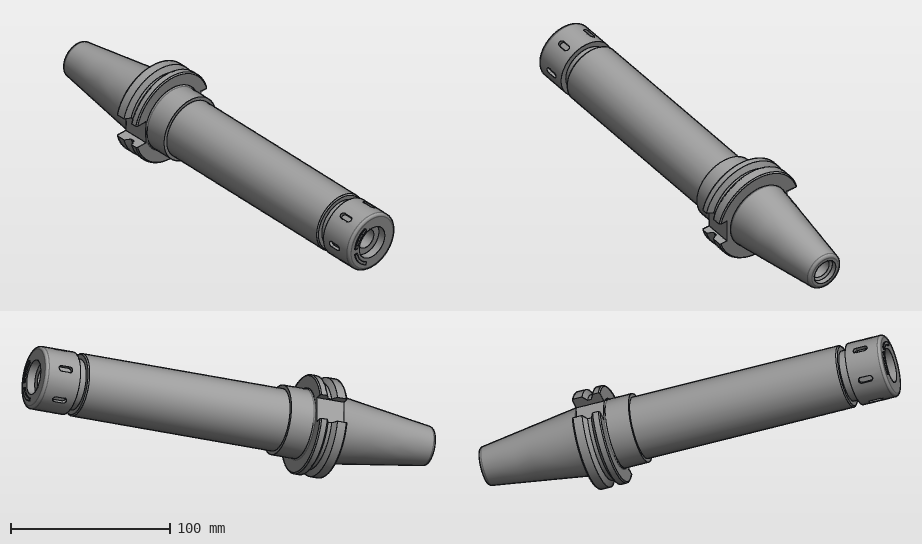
import cadquery as cq
import math

TAPER_END = 68.0
FLANGE_START = 69.0
FLANGE_END = 87.5
COLLAR_END = 103.7
SHANK_END = 241.9
NUT_START = 247.3
NUT_FACE = 270.5
TOTAL_LENGTH = 271.5

TIP_DIAMETER = 24.7
GAUGE_DIAMETER = 44.5
FLANGE_DIAMETER = 63.2
SHANK_DIAMETER = 40.0
NECK_DIAMETER = 32.5

TIP_ROUND = 2.2
FLANGE_CHAMFER = 0.8
COLLAR_FILLET = 0.8
SHANK_CHAMFER = 0.8

GROOVE_CENTRE = 79.3
GROOVE_TOP_WIDTH = 7.0
GROOVE_FLOOR_WIDTH = 2.5
GROOVE_DEPTH = 3.8

DRIVE_SLOT_WIDTH = 16.3
DRIVE_SLOT_FLOOR_FRONT = 22.5
DRIVE_SLOT_FLOOR_BACK = 25.0

THROUGH_BORE_DIAMETER = 13.3
COUNTERBORE_DIAMETER = 16.8
COUNTERBORE_DEPTH = 3.5
COUNTERBORE_CONE_LENGTH = 1.0

NUT_DIAMETER = 40.0
NUT_MOUTH_DIAMETER = 22.0
NUT_LIP_THICKNESS = 5.5
NUT_ROUND = 2.0
WRENCH_SLOT_COUNT = 6
WRENCH_SLOT_LENGTH = 9.2
WRENCH_SLOT_WIDTH = 3.8
WRENCH_SLOT_DEPTH = 2.5
WRENCH_SLOT_X = 257.3

ARC_OUTER_DIAMETER = 30.5
ARC_WIDTH = 2.0
ARC_START_ANGLE = 8
ARC_END_ANGLE = 66

NECK_END = NUT_FACE - NUT_LIP_THICKNESS


def revolve_about_x(profile):
    return profile.close().revolve(360, (0, 0, 0), (1, 0, 0))


def holder_blank():
    flange_radius = FLANGE_DIAMETER / 2
    gauge_radius = GAUGE_DIAMETER / 2
    shank_radius = SHANK_DIAMETER / 2
    neck_radius = NECK_DIAMETER / 2
    profile = (
        cq.Workplane("XY")
        .lineTo(0, TIP_DIAMETER / 2)
        .lineTo(TAPER_END, gauge_radius)
        .lineTo(FLANGE_START, gauge_radius)
        .lineTo(FLANGE_START, flange_radius - FLANGE_CHAMFER)
        .lineTo(FLANGE_START + FLANGE_CHAMFER, flange_radius)
        .lineTo(FLANGE_END - FLANGE_CHAMFER, flange_radius)
        .lineTo(FLANGE_END, flange_radius - FLANGE_CHAMFER)
        .lineTo(FLANGE_END, gauge_radius + COLLAR_FILLET)
        .radiusArc((FLANGE_END + COLLAR_FILLET, gauge_radius), -COLLAR_FILLET)
        .lineTo(COLLAR_END, gauge_radius)
        .lineTo(COLLAR_END, shank_radius)
        .lineTo(SHANK_END - SHANK_CHAMFER, shank_radius)
        .lineTo(SHANK_END, shank_radius - SHANK_CHAMFER)
        .lineTo(SHANK_END, neck_radius)
        .lineTo(NECK_END, neck_radius)
        .lineTo(NECK_END, 0)
    )
    return revolve_about_x(profile).faces("<X").edges().fillet(TIP_ROUND)


def gripper_groove():
    top_radius = FLANGE_DIAMETER / 2
    floor_radius = top_radius - GROOVE_DEPTH
    profile = cq.Workplane("XY").polyline([
        (GROOVE_CENTRE - GROOVE_FLOOR_WIDTH / 2, floor_radius),
        (GROOVE_CENTRE + GROOVE_FLOOR_WIDTH / 2, floor_radius),
        (GROOVE_CENTRE + GROOVE_TOP_WIDTH / 2, top_radius),
        (GROOVE_CENTRE - GROOVE_TOP_WIDTH / 2, top_radius),
    ])
    return revolve_about_x(profile)


def drive_slot(floor_distance, side):
    """Square slot across the flange; side is +1 for +Y and -1 for -Y."""
    depth = FLANGE_DIAMETER / 2 - floor_distance
    centre = ((FLANGE_START + FLANGE_END) / 2, side * (floor_distance + depth / 2), 0)
    return cq.Workplane("XY").box(FLANGE_END - FLANGE_START, depth, DRIVE_SLOT_WIDTH).translate(centre)


def stepped_bore():
    """Through bore with a counterbore at the taper tip that narrows to it along a cone."""
    bore_radius = THROUGH_BORE_DIAMETER / 2
    counterbore_radius = COUNTERBORE_DIAMETER / 2
    profile = cq.Workplane("XY").polyline([
        (0, 0),
        (0, counterbore_radius),
        (COUNTERBORE_DEPTH, counterbore_radius),
        (COUNTERBORE_DEPTH + COUNTERBORE_CONE_LENGTH, bore_radius),
        (NECK_END, bore_radius),
        (NECK_END, 0),
    ])
    return revolve_about_x(profile)


def make_holder():
    holder = holder_blank().cut(gripper_groove())
    holder = holder.cut(drive_slot(DRIVE_SLOT_FLOOR_FRONT, -1))
    holder = holder.cut(drive_slot(DRIVE_SLOT_FLOOR_BACK, 1))
    return holder.cut(stepped_bore())


def nut_blank():
    outer_radius = NUT_DIAMETER / 2
    neck_radius = NECK_DIAMETER / 2
    mouth_radius = NUT_MOUTH_DIAMETER / 2
    profile = cq.Workplane("XY").polyline([
        (NUT_START, neck_radius),
        (NUT_START, outer_radius),
        (NUT_FACE, outer_radius),
        (NUT_FACE, mouth_radius),
        (NECK_END, mouth_radius),
        (NECK_END, neck_radius),
    ])
    outer_edges = revolve_about_x(profile).edges(cq.selectors.RadiusNthSelector(-1))
    return outer_edges.edges(">X").fillet(NUT_ROUND)


def wrench_slot(angle):
    """Round-ended slot in the nut's side, turned by the angle about X from -Y."""
    floor_distance = NUT_DIAMETER / 2 - WRENCH_SLOT_DEPTH
    slot = (
        cq.Workplane("XZ", origin=(WRENCH_SLOT_X, -floor_distance, 0))
        .slot2D(WRENCH_SLOT_LENGTH, WRENCH_SLOT_WIDTH)
        .extrude(NUT_DIAMETER / 2)
    )
    return slot.rotate((0, 0, 0), (1, 0, 0), angle)


def raised_arc(side):
    """Raised arc on the nut face; side is +1 for +Z and -1 for -Z."""
    outer_radius = ARC_OUTER_DIAMETER / 2
    inner_radius = outer_radius - ARC_WIDTH

    def point(radius, angle):
        turn = math.radians(angle)
        return (-radius * math.cos(turn), side * radius * math.sin(turn))

    middle_angle = (ARC_START_ANGLE + ARC_END_ANGLE) / 2
    return (
        cq.Workplane("YZ", origin=(NUT_FACE, 0, 0))
        .moveTo(*point(outer_radius, ARC_START_ANGLE))
        .threePointArc(point(outer_radius, middle_angle), point(outer_radius, ARC_END_ANGLE))
        .lineTo(*point(inner_radius, ARC_END_ANGLE))
        .threePointArc(point(inner_radius, middle_angle), point(inner_radius, ARC_START_ANGLE))
        .close()
        .extrude(TOTAL_LENGTH - NUT_FACE)
    )


def make_nut():
    nut = nut_blank()
    for index in range(WRENCH_SLOT_COUNT):
        nut = nut.cut(wrench_slot(index * 360 / WRENCH_SLOT_COUNT))
    for side in (1, -1):
        nut = nut.union(raised_arc(side))
    return nut


holder = make_holder()
nut = make_nut()
result = cq.Compound.makeCompound([holder.val(), nut.val()])